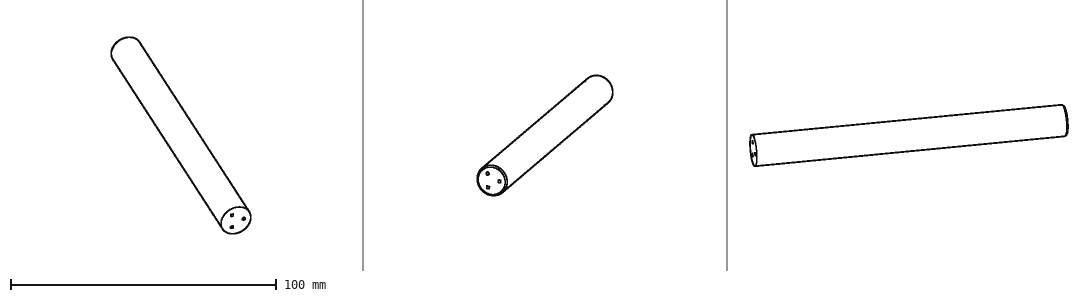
import cadquery as cq
import math

bar_diameter = 12.0
bar_length = 120.0
chamfer = 0.6

channel_count = 3
channel_diameter = 1.1
channel_circle_diameter = 6.3
first_channel_angle = 178.0
surface_helix_angle = 30.0

channel_overrun = 1.0

channel_pitch = math.pi * bar_diameter / math.tan(math.radians(surface_helix_angle))
twist_per_length = 360.0 / channel_pitch


def make_bar():
    """Round bar with its -X rim chamfered."""
    bar = cq.Workplane("YZ").circle(bar_diameter / 2).extrude(bar_length)
    return bar.faces("<X").edges().chamfer(chamfer)


def make_channel(angle):
    """Right-handed helical channel that crosses X = 0 at an angle from +Y about the X axis."""
    cut_length = bar_length + 2 * channel_overrun
    start_angle = math.radians(angle - twist_per_length * channel_overrun)
    y = channel_circle_diameter / 2 * math.cos(start_angle)
    z = channel_circle_diameter / 2 * math.sin(start_angle)
    profile = cq.Workplane("YZ", origin=(-channel_overrun, 0, 0)).moveTo(y, z).circle(channel_diameter / 2)
    return profile.twistExtrude(cut_length, twist_per_length * cut_length)


result = make_bar()
for index in range(channel_count):
    result = result.cut(make_channel(first_channel_angle + index * 360.0 / channel_count))